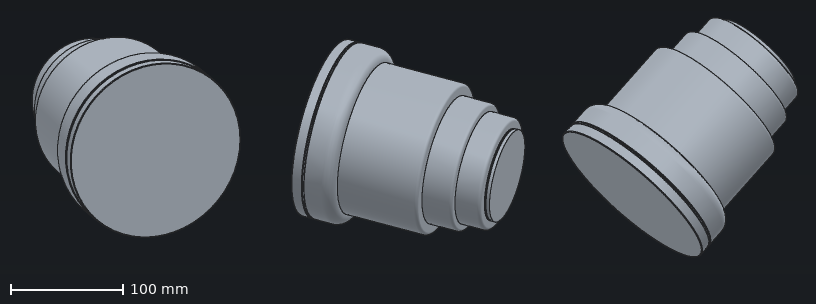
import cadquery as cq

length = 174.5

tip_radius = 42.6
tip_rim_end = 4.0

front_radius = 52.0
front_start = 4.9
front_round = 3.1

middle_radius = 59.2
middle_start = 29.3
middle_round = 2.6

barrel_radius = 70.0
barrel_start = 58.1
barrel_round = 3.1

flange_radius = 81.5
flange_start = 135.0
flange_round = 10.3

groove_center = 163.5
groove_width = 1.2
groove_depth = 4.4
edge_chamfer = 0.7


def cylinder(start, end, radius):
    """Solid disc about the X axis between two positions."""
    return cq.Workplane("YZ").workplane(offset=start).circle(radius).extrude(end - start)


def rounded_step(start, end, radius, rounding):
    """Cylinder whose small-end rim is rounded."""
    return cylinder(start, end, radius).faces("<X").edges().fillet(rounding)


tip = cylinder(0, tip_rim_end, tip_radius).faces(">X").edges().chamfer(edge_chamfer)
shoulder = cylinder(tip_rim_end, front_start, tip_radius).faces("<X").edges().chamfer(edge_chamfer)

front = rounded_step(front_start, middle_start, front_radius, front_round)
middle = rounded_step(middle_start, barrel_start, middle_radius, middle_round)
barrel = rounded_step(barrel_start, flange_start, barrel_radius, barrel_round)

groove_start = groove_center - groove_width / 2
groove_end = groove_center + groove_width / 2
main_ring = rounded_step(flange_start, groove_start, flange_radius, flange_round)
main_ring = main_ring.faces(">X").edges().chamfer(edge_chamfer)
groove_floor = cylinder(groove_start, groove_end, flange_radius - groove_depth)
end_ring = cylinder(groove_end, length, flange_radius)
end_ring = end_ring.faces("<X or >X").edges().chamfer(edge_chamfer)

result = tip
for section in (shoulder, front, middle, barrel, main_ring, groove_floor, end_ring):
    result = result.union(section)